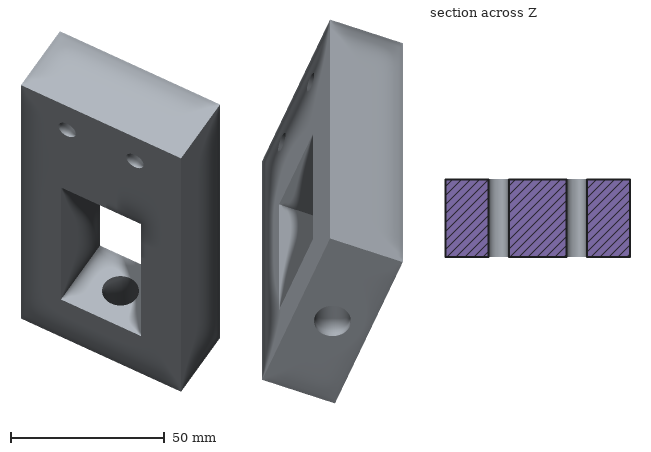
import cadquery as cq

width = 60.0
depth = 25.4
height = 125.0

window_width = 30.0
window_height = 60.0
window_floor = 20.0

mount_diameter = 6.53
mount_spacing = 25.4
mount_from_top = 12.7

floor_hole_diameter = 12.0


def make_block():
    """Plain block, centred in X and Y, standing on Z = 0."""
    return cq.Workplane("XY").box(width, depth, height, centered=(True, True, False))


def make_window():
    return (
        cq.Workplane("XY")
        .workplane(offset=window_floor)
        .box(window_width, depth, window_height, centered=(True, True, False))
    )


def make_mount_holes():
    hole_z = height - mount_from_top
    return (
        cq.Workplane("XZ", origin=(0, depth / 2, 0))
        .pushPoints([(-mount_spacing / 2, hole_z), (mount_spacing / 2, hole_z)])
        .circle(mount_diameter / 2)
        .extrude(depth)
    )


def make_floor_hole():
    return cq.Workplane("XY").circle(floor_hole_diameter / 2).extrude(window_floor)


result = make_block().cut(make_window()).cut(make_mount_holes()).cut(make_floor_hole())